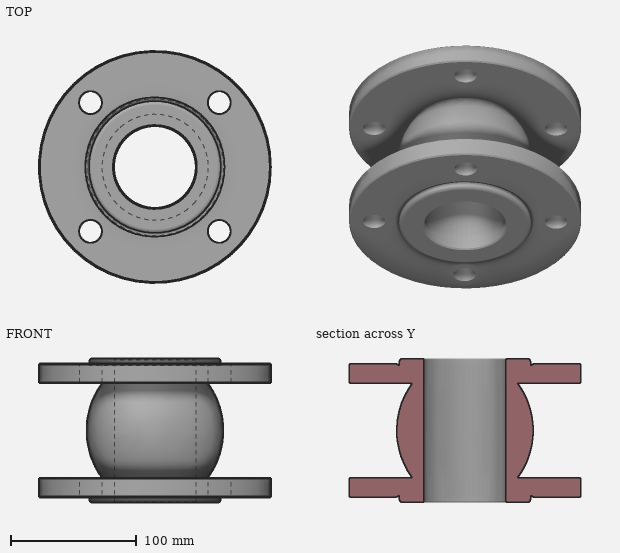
import cadquery as cq

overall_height = 115.0
half_height = overall_height / 2

flange_diameter = 185.0
flange_thickness = 16.0
flange_edge_chamfer = 1.0

face_diameter = 105.0
face_height = 4.0
face_edge_radius = 3.0
relief_width = 3.0
relief_depth = 1.4

waist_diameter = 109.2
neck_diameter = 84.5

bore_diameter = 65.0
bore_edge_chamfer = 1.0

bolt_hole_diameter = 18.0
bolt_circle_diameter = 145.0
bolt_count = 4
bolt_start_angle = 45.0

flange_outer_z = half_height - face_height
flange_inner_z = flange_outer_z - flange_thickness


def bellows_body():
    """Barrel-shaped body, an arc revolved about Z."""
    return (
        cq.Workplane("XZ")
        .moveTo(0, -flange_inner_z)
        .lineTo(neck_diameter / 2, -flange_inner_z)
        .threePointArc((waist_diameter / 2, 0), (neck_diameter / 2, flange_inner_z))
        .lineTo(0, flange_inner_z)
        .close()
        .revolve(360, (0, 0, 0), (0, 1, 0))
    )


def bolt_hole_cutter():
    """Cylinders on the bolt circle, long enough to pierce one flange."""
    return (
        cq.Workplane("XY")
        .workplane(offset=flange_inner_z)
        .polarArray(bolt_circle_diameter / 2, bolt_start_angle, 360, bolt_count)
        .circle(bolt_hole_diameter / 2)
        .extrude(flange_thickness)
    )


def relief_cutter():
    """Cone that countersinks the outer side of the flange around the sealing face."""
    face_radius = face_diameter / 2
    return (
        cq.Workplane("XZ")
        .moveTo(face_radius, flange_outer_z)
        .lineTo(face_radius + relief_width, flange_outer_z)
        .lineTo(face_radius, flange_outer_z - relief_depth)
        .close()
        .revolve(360, (0, 0, 0), (0, 1, 0))
    )


def upper_flange():
    """Flange with its bolt holes, relief groove and raised sealing face."""
    plate = (
        cq.Workplane("XY")
        .workplane(offset=flange_inner_z)
        .circle(flange_diameter / 2)
        .extrude(flange_thickness)
        .edges()
        .chamfer(flange_edge_chamfer)
    )
    face = (
        cq.Workplane("XY")
        .workplane(offset=flange_inner_z)
        .circle(face_diameter / 2)
        .extrude(flange_thickness + face_height)
        .edges(">Z")
        .fillet(face_edge_radius)
    )
    return plate.cut(bolt_hole_cutter()).cut(relief_cutter()).union(face)


def bore_cutter():
    """Straight through bore."""
    return cq.Workplane("XY").circle(bore_diameter / 2).extrude(half_height, both=True)


flange = upper_flange()
joint = bellows_body().union(flange).union(flange.mirror("XY")).cut(bore_cutter())

bore_edges = cq.selectors.RadiusNthSelector(0)
for end_face in (">Z", "<Z"):
    joint = joint.faces(end_face).edges(bore_edges).chamfer(bore_edge_chamfer)

result = joint